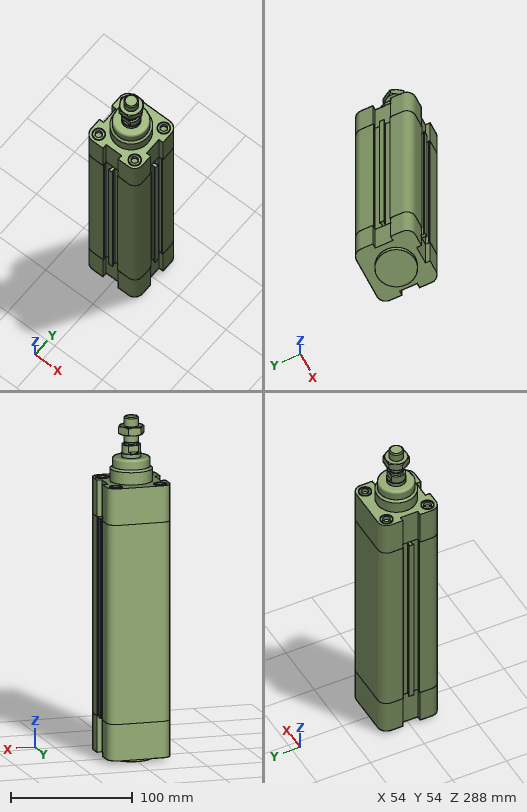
import cadquery as cq
import math

body_width = 54.0
corner_radius = 8.0

total_length = 288.0
rear_boss_height = 4.0
cap_height = 30.8
tube_length = 168.2
rear_cap_top = rear_boss_height + cap_height
tube_top = rear_cap_top + tube_length
head_cap_top = tube_top + cap_height

channel_width = 16.0
channel_depth = 4.3

slot_mouth_width = 15.0
slot_lip_depth = 1.2
rail_head_width = 4.3
rail_stem_width = 2.5

boss_diameter = 35.0
collar_diameter = 31.0
boss_straight_height = 10.5
boss_taper_height = 1.7
collar_height = 8.0
collar_fillet = 2.0
boss_top = head_cap_top + boss_straight_height + boss_taper_height
collar_top = boss_top + collar_height

hole_spacing = 38.0
hole_diameter = 6.3
hole_depth = 3.5
drill_point_angle = 120
groove_outer_diameter = 11.0
groove_inner_diameter = 10.0
groove_depth = 0.5

rod_diameter = 16.0
rod_shoulder_height = 3.5
flats_diameter = 15.5
flats_across = 13.0
flats_height = 7.0
flats_land = 0.3
relief_diameter = 10.5
relief_height = 2.3
thread_diameter = 12.0
thread_chamfer = 1.0
shoulder_top = collar_top + rod_shoulder_height
shoulder_chamfer = (rod_diameter - flats_diameter) / 2
flats_top = shoulder_top + flats_height
relief_top = flats_top + relief_height

nut_across_flats = 19.0
nut_height = 7.0
nut_bottom = 273.3
nut_chamfer_height = 1.0

slotted_side_angles = (0, 180, 270)


def cylinder(diameter, bottom, height):
    return cq.Workplane("XY").workplane(offset=bottom).circle(diameter / 2).extrude(height)


def turned(profile):
    """Solid of revolution about Z from a closed outline of (radius, z) points."""
    return cq.Workplane("XZ").polyline(profile).close().revolve(360, (0, 0), (0, 1))


def square_block(bottom, height):
    block = cq.Workplane("XY").box(body_width, body_width, height, centered=(True, True, False))
    return block.edges("|Z").fillet(corner_radius).translate((0, 0, bottom))


def side_bar(top_depth, floor_depth, width, bottom, height):
    """Bar between two depths below the +X side face."""
    bar = cq.Workplane("XY").box(floor_depth - top_depth, width, height, centered=(False, True, False))
    return bar.translate((body_width / 2 - floor_depth, 0, bottom))


def cut_on_slotted_sides(body, cutter):
    for angle in slotted_side_angles:
        body = body.cut(cutter.rotate((0, 0, 0), (0, 0, 1), angle))
    return body


def make_cap_block(bottom):
    """Square cap with three side channels."""
    channel = side_bar(0, channel_depth, channel_width, bottom, cap_height)
    return cut_on_slotted_sides(square_block(bottom, cap_height), channel)


def make_rear_cap():
    return make_cap_block(rear_boss_height).union(cylinder(boss_diameter, 0, rear_boss_height))


def make_head_boss():
    """Straight boss tapering in to the collar, which has a rounded rim."""
    boss_radius = boss_diameter / 2
    collar_radius = collar_diameter / 2
    boss = turned([
        (0, head_cap_top),
        (boss_radius, head_cap_top),
        (boss_radius, head_cap_top + boss_straight_height),
        (collar_radius, boss_top),
        (collar_radius, collar_top),
        (0, collar_top),
    ])
    return boss.faces(">Z").edges().fillet(collar_fillet)


def make_corner_hole():
    """Cutter on the Z axis: a drill-pointed hole and the ring groove around it."""
    radius = hole_diameter / 2
    hole_floor = head_cap_top - hole_depth
    point_depth = radius / math.tan(math.radians(drill_point_angle / 2))
    hole = turned([
        (0, head_cap_top),
        (radius, head_cap_top),
        (radius, hole_floor),
        (0, hole_floor - point_depth),
    ])
    groove_floor = head_cap_top - groove_depth
    groove = cylinder(groove_outer_diameter, groove_floor, groove_depth)
    groove = groove.cut(cylinder(groove_inner_diameter, groove_floor, groove_depth))
    return hole.union(groove)


def make_head_cap():
    cap = make_cap_block(tube_top).union(make_head_boss())
    corner_hole = make_corner_hole()
    for x in (-hole_spacing / 2, hole_spacing / 2):
        for y in (-hole_spacing / 2, hole_spacing / 2):
            cap = cap.cut(corner_hole.translate((x, y, 0)))
    rod_bore = cylinder(rod_diameter, tube_top, collar_top - tube_top)
    return cap.cut(rod_bore)


def make_tube():
    mouth = side_bar(0, slot_lip_depth, slot_mouth_width, rear_cap_top, tube_length)
    pocket = side_bar(slot_lip_depth, channel_depth, channel_width, rear_cap_top, tube_length)
    rail_head = side_bar(0, slot_lip_depth, rail_head_width, rear_cap_top, tube_length)
    rail_stem = side_bar(slot_lip_depth, channel_depth, rail_stem_width, rear_cap_top, tube_length)
    slot = mouth.union(pocket).cut(rail_head).cut(rail_stem)
    return cut_on_slotted_sides(square_block(rear_cap_top, tube_length), slot)


def make_flats_section():
    """Round section with wrench flats facing +Y and -Y, which run out at 45 degrees above a round land."""
    half_flats = flats_across / 2
    half_round = flats_diameter / 2
    land_top = shoulder_top + flats_land
    runout_top = land_top + half_round - half_flats
    limit = (
        cq.Workplane("YZ")
        .polyline([
            (-half_round, shoulder_top),
            (half_round, shoulder_top),
            (half_round, land_top),
            (half_flats, runout_top),
            (half_flats, flats_top),
            (-half_flats, flats_top),
            (-half_flats, runout_top),
            (-half_round, land_top),
        ])
        .close()
        .extrude(half_round, both=True)
    )
    return cylinder(flats_diameter, shoulder_top, flats_height).intersect(limit)


def make_relief():
    """Thread relief neck, flaring out to the thread diameter at its foot."""
    neck_radius = relief_diameter / 2
    foot_radius = thread_diameter / 2
    flare_top = flats_top + foot_radius - neck_radius
    return turned([
        (0, flats_top),
        (foot_radius, flats_top),
        (neck_radius, flare_top),
        (neck_radius, relief_top),
        (0, relief_top),
    ])


def make_rod():
    shank = cylinder(rod_diameter, tube_top, shoulder_top - tube_top)
    shank = shank.faces(">Z").chamfer(shoulder_chamfer)
    thread = cylinder(thread_diameter, relief_top, total_length - relief_top)
    thread = thread.faces(">Z").chamfer(thread_chamfer)
    return shank.union(make_flats_section()).union(make_relief()).union(thread)


def make_nut():
    """Hexagon nut with corners at +X and -X, cut back at both ends by cones."""
    across_corners = nut_across_flats / math.cos(math.radians(30))
    corner_reach = across_corners / 2
    face_reach = nut_across_flats / 2
    nut_top = nut_bottom + nut_height
    hexagon = cq.Workplane("XY").workplane(offset=nut_bottom).polygon(6, across_corners).extrude(nut_height)
    cone_limit = turned([
        (0, nut_bottom),
        (face_reach, nut_bottom),
        (corner_reach, nut_bottom + nut_chamfer_height),
        (corner_reach, nut_top - nut_chamfer_height),
        (face_reach, nut_top),
        (0, nut_top),
    ])
    thread_hole = cylinder(thread_diameter, nut_bottom, nut_height)
    return hexagon.intersect(cone_limit).cut(thread_hole)


rear_cap = make_rear_cap()
tube = make_tube()
head_cap = make_head_cap()
rod = make_rod()
nut = make_nut()

result = cq.Compound.makeCompound([rear_cap.val(), tube.val(), head_cap.val(), rod.val(), nut.val()])